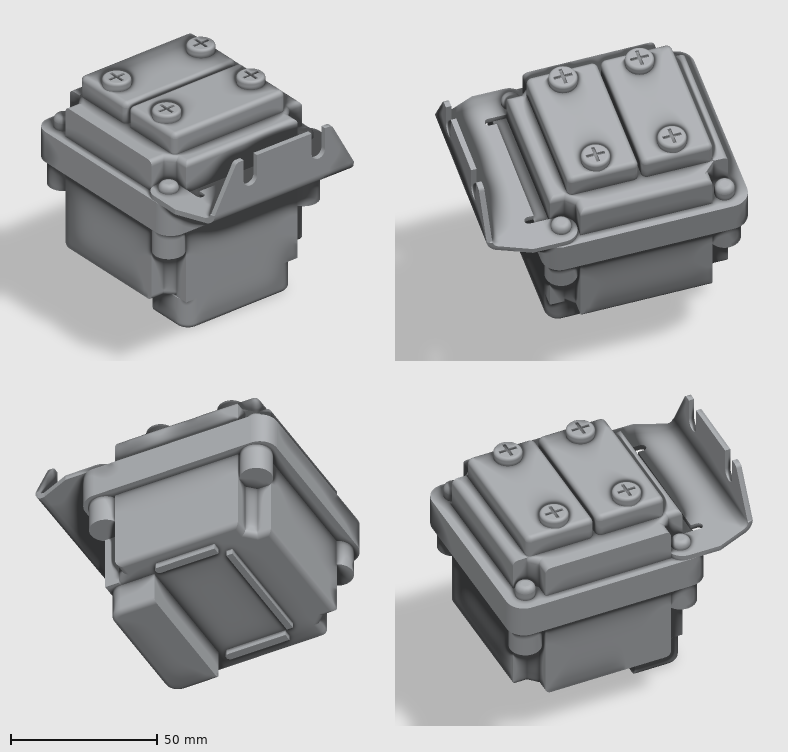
import cadquery as cq
import math

flange_height = 11.95
body_top = 23.8
body_bottom = -31.4
cover_top = 31.8
cover_screw_top = 35.0
corner_screw_top = 16.8
boss_depth = 10.5
rib_drop = 2.15
foot_bottom = -43.1

flange_length = 73.9
flange_width = 72.5
flange_corner = 6.5

body_center = 0.1
side_reach = 32.0
side_half_width = 24.4
end_reach = 32.9
end_half_width = 23.7
inner_bevel = 3.1
edge_round = 2.0
bevel_side_x = end_half_width + inner_bevel
bevel_end_y = side_half_width + inner_bevel

cover_length = 25.4
cover_width = 48.7
cover_gap = 1.3
cover_pair_center = -0.6
cover_top_round = 1.9

cover_screw_diameter = 10.0
cover_screw_half_pitch_x = 13.7
cover_screw_half_pitch_y = 18.4
cover_screw_round = 1.0
recess_length = 6.6
recess_width = 1.2
recess_depth = 0.9

skew_angle = -0.55
corner_half_pitch = 29.2
corner_screw_diameter = 7.0
corner_screw_round = 2.0
boss_diameter = 11.5

foot_left = 14.0
foot_front = -24.65
foot_back = 22.8
foot_corner = 4.95
long_rib_length = 23.5
long_rib_width = 3.0
long_rib_distance = 26.05
long_rib_chamfer = 0.8
cross_rib_x = -14.75
cross_rib_thickness = 2.3
cross_rib_length = 44.6

sheet = 2.0
bend_inner = 2.15
bracket_outer = 56.1
bracket_half_width = 35.85
arm_tip = 23.9
window_edge = 36.7
window_half_width = 24.6
taper_start = 41.3
bend_half_width = 31.3
upright_half_width = 30.2
bracket_top = 33.7
ear_half_width = 20.6
ear_round = 1.8
relief_length = 3.7
relief_width = 3.0
hanger_slot_width = 5.8
hanger_slot_distance = 14.75
hanger_slot_center_z = 25.6


def box(x0, x1, y0, y1, z0, z1):
    """Block between the given limits."""
    return cq.Workplane("XY").box(x1 - x0, y1 - y0, z1 - z0, centered=False).translate((x0, y0, z0))


def cylinder(x, y, z0, z1, diameter):
    """Upright cylinder centred on (x, y)."""
    return cq.Workplane("XY", origin=(x, y, z0)).circle(diameter / 2).extrude(z1 - z0)


def mirrored_points(x, y):
    """Four points placed symmetrically about the origin."""
    return [(sx * x, sy * y) for sx in (-1, 1) for sy in (-1, 1)]


def body_block(height, left):
    """Cross-shaped block from x = left, with rounded top edges; only the -Y edge stays sharp."""
    front = -end_reach - 2 * edge_round
    outline = [
        (-end_half_width, front),
        (end_half_width, front),
        (end_half_width, -bevel_end_y),
        (bevel_side_x, -side_half_width),
        (side_reach, -side_half_width),
        (side_reach, side_half_width),
        (bevel_side_x, side_half_width),
        (end_half_width, bevel_end_y),
        (end_half_width, end_reach),
        (-end_half_width, end_reach),
        (-end_half_width, bevel_end_y),
        (-bevel_side_x, side_half_width),
        (-side_reach, side_half_width),
        (-side_reach, -side_half_width),
        (-bevel_side_x, -side_half_width),
        (-end_half_width, -bevel_end_y),
    ]
    block = cq.Workplane("XY").polyline(outline).close().extrude(height)
    block = block.faces(">Z").edges().fillet(edge_round)
    return block.intersect(box(left, side_reach, -end_reach, end_reach, 0, height))


def cove(x, y, direction, length):
    """Concave strip at the foot of a wall on the flange; the wall is on the right of its path."""
    strip = box(-edge_round, length + edge_round, 0, edge_round, 0, edge_round)
    hollow = (
        cq.Workplane("YZ", origin=(-edge_round, edge_round, edge_round))
        .circle(edge_round)
        .extrude(length + 2 * edge_round)
    )
    strip = strip.cut(hollow).rotate((0, 0, 0), (0, 0, 1), direction)
    return strip.translate((x, y, flange_height))


def make_body():
    left_arm = box(-side_reach, -bevel_side_x, -side_half_width, side_half_width, 0, body_top)
    left_arm = left_arm.edges("<X and >Z").fillet(edge_round)

    bevel_run = inner_bevel + edge_round
    sharp_bevel = (
        cq.Workplane("XY", origin=(-bevel_side_x, side_half_width, 0))
        .polyline([(0, 0), (bevel_run, bevel_run), (bevel_run, 0)])
        .close()
        .extrude(body_top)
    )
    upper = body_block(body_top, -bevel_side_x).union(left_arm).union(sharp_bevel)

    arm_length = side_reach - bevel_side_x
    arm_cove = cove(-side_reach, side_half_width, 0, arm_length)
    arm_cove = arm_cove.intersect(box(-side_reach, 0, 0, end_reach, 0, body_top))
    bevel_cove = cove(-bevel_side_x, side_half_width, 45, inner_bevel * math.sqrt(2))
    upper = upper.union(arm_cove).union(bevel_cove)

    lower = body_block(-body_bottom, -side_reach).mirror("XY")
    right_arm = box(bevel_side_x, side_reach, -side_half_width, side_half_width, body_bottom, 0)
    return upper.union(lower).union(right_arm).translate((body_center, 0, 0))


def make_flange():
    flange = cq.Workplane("XY").rect(flange_length, flange_width).extrude(flange_height)
    return flange.edges("|Z").fillet(flange_corner)


def make_cover(side):
    center_x = cover_pair_center + side * (cover_length + cover_gap) / 2
    cover = cq.Workplane("XY").rect(cover_length, cover_width).extrude(cover_top - body_top)
    cover = cover.edges("|Z").fillet(edge_round).faces(">Z").edges().fillet(cover_top_round)
    return cover.translate((center_x, 0, body_top))


def make_cover_screw(x, y):
    screw = cylinder(x, y, body_top, cover_screw_top, cover_screw_diameter)
    screw = screw.faces(">Z").edges().fillet(cover_screw_round)
    recess_floor = cq.Workplane("XY", origin=(x, y, cover_screw_top - recess_depth))
    for size in ((recess_length, recess_width), (recess_width, recess_length)):
        screw = screw.cut(recess_floor.rect(*size).extrude(recess_depth))
    return screw


def make_corner_fastener(x, y):
    """Screw head above the flange and round boss below it."""
    screw = cylinder(x, y, 0, corner_screw_top, corner_screw_diameter)
    screw = screw.faces(">Z").edges().fillet(corner_screw_round)
    return screw.union(cylinder(x, y, -boss_depth, flange_height / 2, boss_diameter))


def make_foot():
    foot_right = body_center + side_reach
    foot = box(foot_left, foot_right, foot_front, foot_back, foot_bottom, body_bottom)
    foot = foot.edges("|Z and >X").fillet(foot_corner)
    return foot.edges("<Z").edges("not <X").fillet(edge_round)


def make_ribs():
    rib_bottom = body_bottom - rib_drop
    rib_top = body_bottom + rib_drop
    half_length = cross_rib_length / 2
    half_thickness = cross_rib_thickness / 2
    ribs = box(
        cross_rib_x - half_thickness, cross_rib_x + half_thickness,
        -half_length, half_length, rib_bottom, rib_top,
    )
    for side in (-1, 1):
        long_rib = (
            cq.Workplane("XY", origin=(0, side * long_rib_distance, rib_bottom))
            .rect(long_rib_length, long_rib_width)
            .extrude(rib_top - rib_bottom)
            .edges("|Z and >X").chamfer(long_rib_chamfer)
        )
        ribs = ribs.union(long_rib)
    return ribs


def make_bracket():
    bend_outer = bend_inner + sheet
    bend_start = bracket_outer - bend_outer
    bend_middle_z = flange_height + bend_outer
    diagonal = math.sqrt(0.5)

    section = (
        cq.Workplane("XZ", origin=(0, bracket_half_width, 0))
        .moveTo(arm_tip, flange_height)
        .lineTo(bend_start, flange_height)
        .threePointArc(
            (bend_start + bend_outer * diagonal, bend_middle_z - bend_outer * diagonal),
            (bracket_outer, bend_middle_z),
        )
        .lineTo(bracket_outer, bracket_top)
        .lineTo(bracket_outer - sheet, bracket_top)
        .lineTo(bracket_outer - sheet, bend_middle_z)
        .threePointArc(
            (bend_start + bend_inner * diagonal, bend_middle_z - bend_inner * diagonal),
            (bend_start, flange_height + sheet),
        )
        .lineTo(arm_tip, flange_height + sheet)
        .close()
        .extrude(2 * bracket_half_width)
    )

    arm_round = (bracket_half_width - window_half_width) / 2
    arm_axis = bracket_half_width - arm_round
    arm_start = arm_tip + arm_round
    plan = (
        cq.Workplane("XY")
        .moveTo(arm_start, bracket_half_width)
        .lineTo(taper_start, bracket_half_width)
        .lineTo(bend_start, bend_half_width)
        .lineTo(bracket_outer, upright_half_width)
        .lineTo(bracket_outer, -upright_half_width)
        .lineTo(bend_start, -bend_half_width)
        .lineTo(taper_start, -bracket_half_width)
        .lineTo(arm_start, -bracket_half_width)
        .threePointArc((arm_tip, -arm_axis), (arm_start, -window_half_width))
        .lineTo(window_edge, -window_half_width)
        .lineTo(window_edge, window_half_width)
        .lineTo(arm_start, window_half_width)
        .threePointArc((arm_tip, arm_axis), (arm_start, bracket_half_width))
        .close()
        .extrude(bracket_top)
    )

    upright = (
        cq.Workplane("YZ", origin=(arm_tip, 0, 0))
        .polyline([
            (-bracket_half_width, 0),
            (bracket_half_width, 0),
            (bracket_half_width, flange_height + sheet),
            (upright_half_width, bend_middle_z),
            (ear_half_width, bracket_top),
            (-ear_half_width, bracket_top),
            (-upright_half_width, bend_middle_z),
            (-bracket_half_width, flange_height + sheet),
        ])
        .close()
        .extrude(bracket_outer - arm_tip)
        .faces(">Z").edges("|X").fillet(ear_round)
    )
    bracket = section.intersect(plan).intersect(upright)

    for side in (-1, 1):
        relief = (
            cq.Workplane("XY", origin=(window_edge, side * (window_half_width - relief_width / 2), 0))
            .slot2D(2 * relief_length, relief_width)
            .extrude(bend_middle_z)
        )
        slot_y = side * hanger_slot_distance
        slot_half = hanger_slot_width / 2
        slot_end = (
            cq.Workplane("YZ", origin=(bend_start, slot_y, hanger_slot_center_z))
            .circle(slot_half)
            .extrude(2 * bend_outer)
        )
        slot_mouth = box(
            bend_start, bend_start + 2 * bend_outer,
            slot_y - slot_half, slot_y + slot_half, hanger_slot_center_z, bracket_top,
        )
        bracket = bracket.cut(relief).cut(slot_end).cut(slot_mouth)
    return bracket


skewed = make_bracket()
for fastener_x, fastener_y in mirrored_points(corner_half_pitch, corner_half_pitch):
    skewed = skewed.union(make_corner_fastener(fastener_x, fastener_y))
skewed = skewed.rotate((0, 0, 0), (0, 0, 1), skew_angle)

result = make_body().union(make_flange()).union(make_foot()).union(make_ribs())
for cover_side in (-1, 1):
    result = result.union(make_cover(cover_side))
for screw_x, screw_y in mirrored_points(cover_screw_half_pitch_x, cover_screw_half_pitch_y):
    result = result.union(make_cover_screw(body_center + screw_x, screw_y))
result = result.union(skewed)